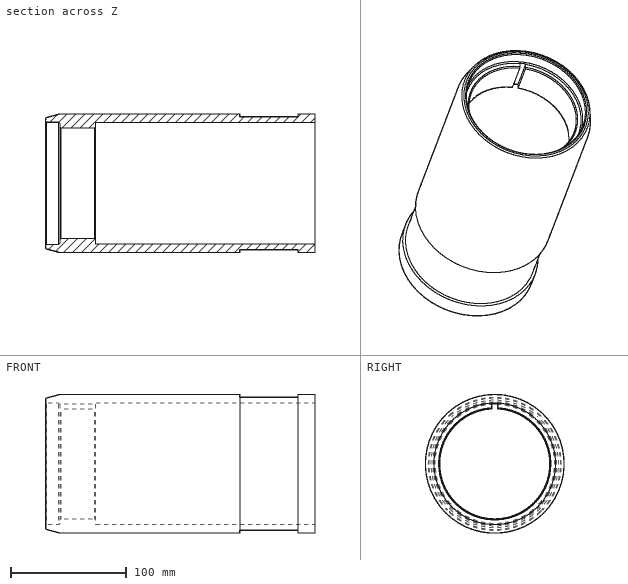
import cadquery as cq
import math

total_length = 233.06
outer_radius = 120 / 2
neck_radius = 115 / 2
bore_radius = 105 / 2

collar_length = 15.0
neck_length = 50.0

taper_length = 12.6
taper_angle = 15.0
nose_edge_length = 0.75
nose_edge_radius = 55.1

socket_radius = 52.7
socket_depth = 12.5
mouth_chamfer = 0.9
socket_corner_chamfer = 1.15

ring_length = 31.0
ring_radius = 47.5
ring_chamfer = 1.0

keyway_width = 5.0
keyway_top_radius = 51.8

front_x = -total_length / 2
rear_x = total_length / 2


def revolve_about_axis(points):
    """Revolve an (x, radius) outline, drawn upward from the X axis, about that axis."""
    return cq.Workplane("XZ").polyline(points).close().revolve(360, (0, 0, 0), (1, 0, 0))


def outer_body():
    taper_end_x = front_x + taper_length
    nose_x = front_x + nose_edge_length
    taper_drop = (taper_length - nose_edge_length) * math.tan(math.radians(taper_angle))
    collar_x = rear_x - collar_length
    neck_x = collar_x - neck_length
    return revolve_about_axis([
        (front_x, 0),
        (front_x, nose_edge_radius),
        (nose_x, outer_radius - taper_drop),
        (taper_end_x, outer_radius),
        (neck_x, outer_radius),
        (neck_x, neck_radius),
        (collar_x, neck_radius),
        (collar_x, outer_radius),
        (rear_x, outer_radius),
        (rear_x, 0),
    ])


def inner_cavity():
    ring_front_x = front_x + socket_depth
    ring_rear_x = ring_front_x + ring_length
    return revolve_about_axis([
        (front_x, 0),
        (front_x, socket_radius + mouth_chamfer),
        (front_x + mouth_chamfer, socket_radius),
        (ring_front_x - socket_corner_chamfer, socket_radius),
        (ring_front_x, socket_radius - socket_corner_chamfer),
        (ring_front_x, ring_radius + ring_chamfer),
        (ring_front_x + ring_chamfer, ring_radius),
        (ring_rear_x - ring_chamfer, ring_radius),
        (ring_rear_x, ring_radius + ring_chamfer),
        (ring_rear_x, bore_radius),
        (rear_x, bore_radius),
        (rear_x, 0),
    ])


def keyway():
    """Axial slot that opens the top of the internal ring from end to end."""
    return (
        cq.Workplane("XY")
        .box(socket_depth + ring_length, keyway_width, keyway_top_radius, centered=(False, True, False))
        .translate((front_x, 0, 0))
    )


result = outer_body().cut(inner_cavity()).cut(keyway())